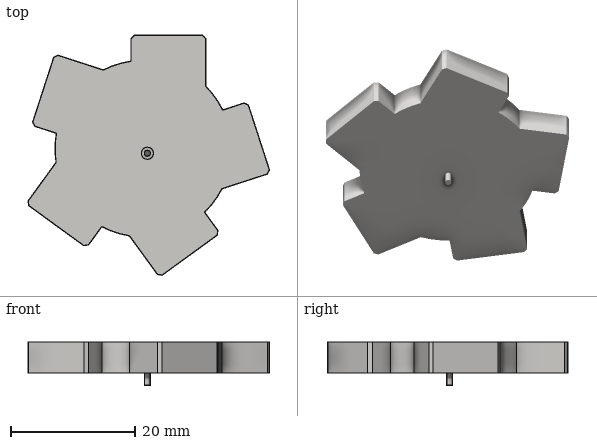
import cadquery as cq

tooth_count = 5
core_radius = 14.25
wheel_thickness = 5.0
tooth_width = 12.05
tooth_left = -2.0
tooth_tip = 18.28
tooth_chamfer = 0.55

bore_center = (0.65, -0.75)
pin_diameter = 0.97
recess_diameter = 2 * pin_diameter
recess_depth = 0.43
pin_projection = 2.0
pin_engagement = wheel_thickness / 2


def make_tooth(angle):
    """One tooth, rooted inside the core and turned about the core axis."""
    return (
        cq.Workplane("XY")
        .center(tooth_left + tooth_width / 2, tooth_tip / 2)
        .rect(tooth_width, tooth_tip)
        .extrude(wheel_thickness)
        .edges("|Z and >Y")
        .chamfer(tooth_chamfer)
        .rotate((0, 0, 0), (0, 0, 1), angle)
    )


def make_wheel():
    """Core and teeth, with a recessed through bore."""
    wheel = cq.Workplane("XY").circle(core_radius).extrude(wheel_thickness)
    for index in range(tooth_count):
        wheel = wheel.union(make_tooth(index * 360 / tooth_count))
    return (
        wheel.faces(">Z")
        .workplane(origin=(*bore_center, wheel_thickness))
        .cboreHole(pin_diameter, recess_diameter, recess_depth)
    )


def make_pin():
    """Plain pin seated in the lower half of the bore and projecting below."""
    return (
        cq.Workplane("XY", origin=(*bore_center, -pin_projection))
        .circle(pin_diameter / 2)
        .extrude(pin_projection + pin_engagement)
    )


wheel = make_wheel()
pin = make_pin()

result = cq.Compound.makeCompound([wheel.val(), pin.val()])